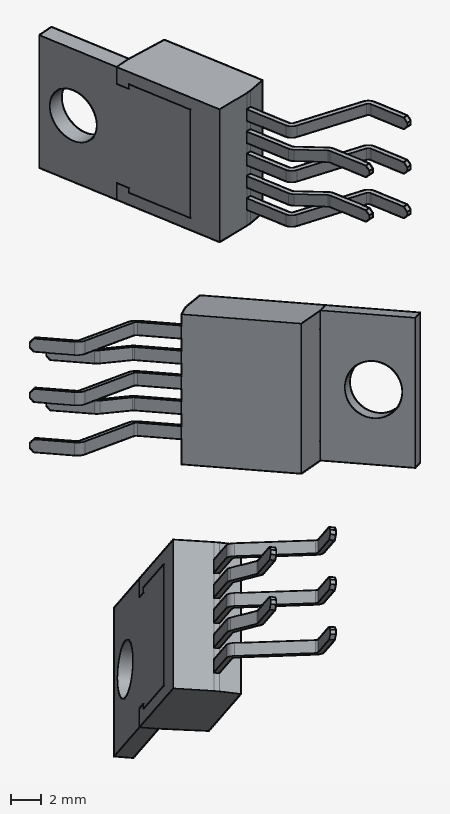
import cadquery as cq
import math


LENGTH = 23.95
DEPTH = 8.48
WIDTH = 10.15

TAB_THICKNESS = 1.3
TAB_EXPOSED_LENGTH = 6.37
HOLE_X = 2.8
HOLE_DIAMETER = 3.85
NECK_WIDTH = 7.57
NECK_END_X = 7.38
PAD_WIDTH = 8.29
PAD_END_X = 12.43

HOUSING_DEPTH = 4.55
HOUSING_END_X = 15.0
END_TAPER = 0.17
FRONT_TAPER = 0.38

LEAD_COUNT = 5
LEAD_PITCH = 1.7
LEAD_WIDTH = 0.89
LEAD_THICKNESS = 0.38
LEAD_EXIT_Y = 2.85
TIP_CHAMFER = 0.29
BEND_INNER_RADIUS = 0.25
BEND_OUTER_RADIUS = BEND_INNER_RADIUS + LEAD_THICKNESS

LONG_FIRST_BEND_X = 18.5
LONG_SECOND_BEND_X = 20.65
LONG_END_Y = DEPTH - LEAD_THICKNESS / 2
SHORT_FIRST_BEND_X = 18.54
SHORT_SECOND_BEND_X = 20.57
SHORT_END_Y = 4.29


def box(x_start, x_end, y_start, y_end, width):
    """Block between two X and two Y positions, centred on z = 0."""
    return (
        cq.Workplane("XY")
        .workplane(offset=-width / 2)
        .moveTo(x_start, y_start)
        .rect(x_end - x_start, y_end - y_start, centered=False)
        .extrude(width)
    )


def make_tab():
    """Metal tab: exposed plate with a screw hole, then a neck and a wider pad set into the housing."""
    plate = box(0, TAB_EXPOSED_LENGTH, 0, TAB_THICKNESS, WIDTH)
    neck = box(TAB_EXPOSED_LENGTH, NECK_END_X, 0, TAB_THICKNESS, NECK_WIDTH)
    pad = box(NECK_END_X, PAD_END_X, 0, TAB_THICKNESS, PAD_WIDTH)
    screw_hole = (
        cq.Workplane("XZ")
        .center(HOLE_X, 0)
        .circle(HOLE_DIAMETER / 2)
        .extrude(-TAB_THICKNESS)
    )
    return plate.union(neck).union(pad).cut(screw_hole)


def make_housing(tab):
    """Moulded block with drafted ends, recessed on its mounting face to hold the tab."""
    block = (
        cq.Workplane("XY")
        .workplane(offset=-WIDTH / 2)
        .polyline(
            [
                (TAB_EXPOSED_LENGTH, 0),
                (HOUSING_END_X - END_TAPER, 0),
                (HOUSING_END_X, LEAD_EXIT_Y - LEAD_THICKNESS / 2),
                (HOUSING_END_X, LEAD_EXIT_Y + LEAD_THICKNESS / 2),
                (HOUSING_END_X - END_TAPER, HOUSING_DEPTH),
                (TAB_EXPOSED_LENGTH + FRONT_TAPER, HOUSING_DEPTH),
                (TAB_EXPOSED_LENGTH, TAB_THICKNESS),
            ]
        )
        .close()
        .extrude(WIDTH)
    )
    return block.cut(tab)


def make_lead(first_bend_x, second_bend_x, end_y, z):
    """Flat lead at height z, bent up toward +Y and back level, with a chamfered tip."""
    half = LEAD_THICKNESS / 2
    bend_angle = math.atan2(end_y - LEAD_EXIT_Y, second_bend_x - first_bend_x)
    mitre = half * math.tan(bend_angle / 2)

    first_outer = (first_bend_x + mitre, LEAD_EXIT_Y - half)
    first_inner = (first_bend_x - mitre, LEAD_EXIT_Y + half)
    second_outer = (second_bend_x - mitre, end_y + half)
    second_inner = (second_bend_x + mitre, end_y - half)

    lead = (
        cq.Workplane("XY")
        .workplane(offset=z - LEAD_WIDTH / 2)
        .polyline(
            [
                (HOUSING_END_X, LEAD_EXIT_Y - half),
                first_outer,
                second_inner,
                (LENGTH, end_y - half),
                (LENGTH, end_y + half),
                second_outer,
                first_inner,
                (HOUSING_END_X, LEAD_EXIT_Y + half),
            ]
        )
        .close()
        .extrude(LEAD_WIDTH)
    )

    bend_corners = [
        (first_outer, BEND_OUTER_RADIUS),
        (first_inner, BEND_INNER_RADIUS),
        (second_outer, BEND_OUTER_RADIUS),
        (second_inner, BEND_INNER_RADIUS),
    ]
    for (x, y), radius in bend_corners:
        corner = cq.NearestToPointSelector((x, y, z))
        lead = lead.edges("|Z").edges(corner).fillet(radius)

    return lead.faces(">X").edges("|Y").chamfer(TIP_CHAMFER)


def make_leads():
    """Row of leads along Z, alternating long and short bends and starting with a long one."""
    leads = []
    for index in range(LEAD_COUNT):
        z = (index - (LEAD_COUNT - 1) / 2) * LEAD_PITCH
        if index % 2 == 0:
            lead = make_lead(LONG_FIRST_BEND_X, LONG_SECOND_BEND_X, LONG_END_Y, z)
        else:
            lead = make_lead(SHORT_FIRST_BEND_X, SHORT_SECOND_BEND_X, SHORT_END_Y, z)
        leads.append(lead)
    return leads


tab = make_tab()
housing = make_housing(tab)
leads = make_leads()

result = cq.Compound.makeCompound([tab.val(), housing.val(), *[lead.val() for lead in leads]])